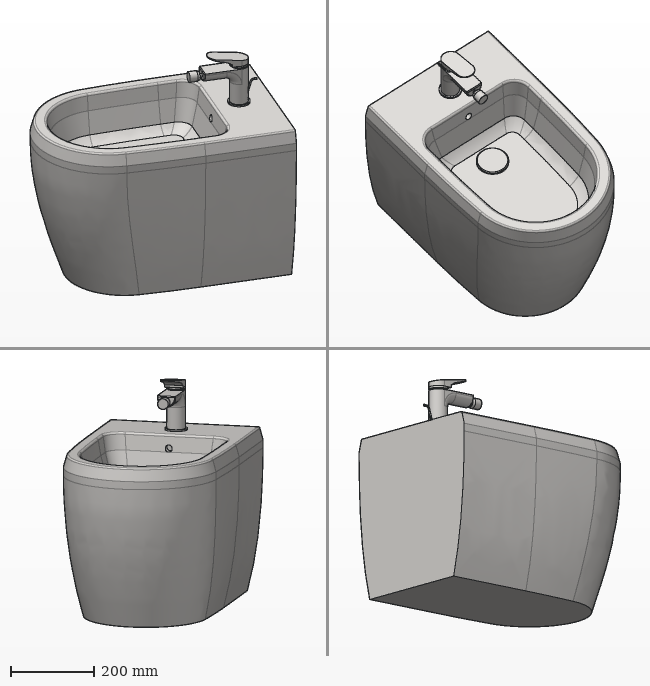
import cadquery as cq
import math


LENGTH = 600.0
WIDTH = 387.5
DECK_Z = 401.5
BAND_BOTTOM_Z = 351.0
BAND_TOP_Z = 370.0
NOSE_RADIUS = 188.0
SIDE_STRAIGHT = 228.0
RIM_INSET = 9.0
RIM_ROUND = 5.0
FOOT_SECTIONS = [
    (0.0, 155.0, 521.5, 150.0),
    (117.5, 179.0, 561.0, 173.0),
    (233.5, 190.0, 589.0, 184.0),
]

BOWL_HALF_WIDTH = 157.0
BOWL_BACK_Y = -144.5
BOWL_STRAIGHT_END_Y = -240.0
BOWL_NOSE_CENTRE_Y = -410.5
BOWL_NOSE_RADIUS = 153.0
BOWL_CORNER_RADIUS = 45.0
BOWL_LIP_ROUND = 6.0
BOWL_LIP_INSET = 4.0
SHOULDER_Z = 359.5
SHOULDER_INSET = 11.5
DISH_Z = 302.5
DISH_INSET = 27.0
DISH_MIDDLE_Z = 290.0
DISH_MIDDLE_INSET = 42.0
BOWL_FLOOR_Z = 284.0
FLOOR_INSET = 55.0
CORNER_SHRINK = 0.4
NOSE_LEAN = 0.1

OVERFLOW_Z = 368.0
OVERFLOW_RADIUS = 8.5
OVERFLOW_DEPTH = 18.0

PLUG_Y = -246.0
PLUG_RADIUS = 39.0
PLUG_HEIGHT = 6.0
PLUG_CHAMFER = 2.5

TAP_Y = -84.0
TAP_RADIUS = 23.0
FLANGE_RADIUS = 27.0
FLANGE_HEIGHT = 3.5
TAP_TOP_Z = 500.0
SPOUT_DEPTH = 27.0
SPOUT_END_Y = -177.5
SPOUT_RADIUS = TAP_RADIUS
SPOUT_END_CHAMFER = 2.5
BEND_INNER_RADIUS = 14.0
COLLAR_NECK_RADIUS = 20.0
COLLAR_NECK_HEIGHT = 3.0
COLLAR_HEIGHT = 5.0

NOZZLE_Z = 486.5
NOZZLE_RADIUS = 13.0
NOZZLE_BACK_RADIUS = 11.0
NOZZLE_NECK_RADIUS = 5.0
NOZZLE_BACK_Y = -184.0
NOZZLE_CONE_LENGTH = 6.5
NOZZLE_END_Y = -210.5

LEVER_TIP_Y = -164.5
LEVER_TOP_BACK_Z = 519.5
LEVER_TOP_TIP_Z = 536.5
LEVER_TIP_THICKNESS = 2.5
LEVER_ROOT_Y = -120.0
LEVER_ROOT_THICKNESS = 7.0
LEVER_HEEL_Z = 513.5

ROD_RADIUS = 2.0
ROD_KNOB_RADIUS = 2.5
ROD_KNOB_LENGTH = 5.0
ROD_END_Y = -39.5
ROD_END_Z = 457.0
ROD_PATH = [(-62.0, 423.0), (-56.0, 446.5), (-47.0, ROD_END_Z)]


def d_outline(z, half_width, back_y, straight_end_y, nose_y, nose_radius):
    """D-shaped wire: straight back and sides, slightly bowed side arcs and a round nose, all tangent."""
    nose_centre_y = nose_y + nose_radius
    reach = straight_end_y - nose_centre_y
    side_radius = (reach**2 + half_width**2 - nose_radius**2) / (2 * (half_width - nose_radius))
    side_centre_x = half_width - side_radius
    side_angle = math.asin(reach / (side_radius - nose_radius))

    def side_point(angle):
        return (
            side_centre_x + side_radius * math.cos(angle),
            straight_end_y - side_radius * math.sin(angle),
        )

    side_middle_x, side_middle_y = side_point(side_angle / 2)
    side_end_x, side_end_y = side_point(side_angle)
    return (
        cq.Workplane("XY", origin=(0, 0, z))
        .moveTo(-half_width, back_y)
        .lineTo(half_width, back_y)
        .lineTo(half_width, straight_end_y)
        .threePointArc((side_middle_x, side_middle_y), (side_end_x, side_end_y))
        .threePointArc((0, nose_y), (-side_end_x, side_end_y))
        .threePointArc((-side_middle_x, side_middle_y), (-half_width, straight_end_y))
        .close()
        .wires()
        .val()
    )


def loft(wires, ruled):
    return cq.Workplane(obj=cq.Solid.makeLoft(wires, ruled))


def shell_outline(z, half_width, nose_distance, nose_radius):
    return d_outline(z, half_width, 0, -SIDE_STRAIGHT, -nose_distance, nose_radius)


def make_shell():
    half_width = WIDTH / 2
    foot = [shell_outline(*section) for section in FOOT_SECTIONS]
    band_bottom = shell_outline(BAND_BOTTOM_Z, half_width, LENGTH, NOSE_RADIUS)
    band_top = shell_outline(BAND_TOP_Z, half_width, LENGTH, NOSE_RADIUS)
    rim = shell_outline(DECK_Z, half_width - RIM_INSET, LENGTH - RIM_INSET, NOSE_RADIUS - RIM_INSET)
    lower_wall = loft(foot + [band_bottom], ruled=False)
    rim_band = loft([band_bottom, band_top, rim], ruled=True)
    rim_band = rim_band.faces(">Z").edges("not >Y").fillet(RIM_ROUND)
    return lower_wall.union(rim_band)


def bowl_outline(z, inset):
    """Bowl outline drawn in from the opening, slightly less at the nose, with rounded back corners."""
    wire = d_outline(
        z,
        BOWL_HALF_WIDTH - inset,
        BOWL_BACK_Y - inset,
        BOWL_STRAIGHT_END_Y,
        BOWL_NOSE_CENTRE_Y - BOWL_NOSE_RADIUS + (1 - NOSE_LEAN) * inset,
        BOWL_NOSE_RADIUS - inset,
    )
    corners = cq.Workplane(obj=wire).vertices(">Y").vals()
    return wire.fillet2D(BOWL_CORNER_RADIUS - CORNER_SHRINK * inset, corners)


def make_bowl():
    shoulder = bowl_outline(SHOULDER_Z, SHOULDER_INSET)
    dish_edge = bowl_outline(DISH_Z, DISH_INSET)
    dish_middle = bowl_outline(DISH_MIDDLE_Z, DISH_MIDDLE_INSET)
    floor = bowl_outline(BOWL_FLOOR_Z, FLOOR_INSET)
    walls = loft([bowl_outline(DECK_Z, BOWL_LIP_INSET), shoulder, dish_edge], ruled=True)
    return walls.union(loft([dish_edge, dish_middle, floor], ruled=False))


def make_overflow_hole():
    start_y = BOWL_BACK_Y - SHOULDER_INSET
    return (
        cq.Workplane("XZ", origin=(0, start_y, OVERFLOW_Z))
        .circle(OVERFLOW_RADIUS)
        .extrude(-OVERFLOW_DEPTH)
    )


def make_basin():
    basin = make_shell().cut(make_bowl())
    lip = cq.selectors.BoxSelector(
        (-BOWL_HALF_WIDTH, BOWL_BACK_Y + 6, DECK_Z - 0.5),
        (BOWL_HALF_WIDTH, BOWL_NOSE_CENTRE_Y - BOWL_NOSE_RADIUS, DECK_Z + 0.5),
    )
    basin = basin.edges(lip).fillet(BOWL_LIP_ROUND)
    return basin.cut(make_overflow_hole())


def make_drain_plug():
    return (
        cq.Workplane("XY", origin=(0, PLUG_Y, BOWL_FLOOR_Z))
        .circle(PLUG_RADIUS)
        .extrude(PLUG_HEIGHT)
        .faces(">Z")
        .edges()
        .chamfer(PLUG_CHAMFER)
    )


def tap_disc(z, radius, height):
    """Round disc on the axis of the tap."""
    return cq.Workplane("XY", origin=(0, TAP_Y, z)).circle(radius).extrude(height)


def make_flange():
    return tap_disc(DECK_Z, FLANGE_RADIUS, FLANGE_HEIGHT)


def make_spout():
    """Half-round spout with a flat top, bending out of the tap column."""
    bend_z = TAP_TOP_Z - SPOUT_DEPTH - BEND_INNER_RADIUS
    bend_radius = BEND_INNER_RADIUS + SPOUT_RADIUS
    bend_y = TAP_Y - bend_radius
    arm_z = bend_z + bend_radius
    arm = (
        cq.Workplane("XZ", origin=(0, bend_y, arm_z))
        .moveTo(-SPOUT_RADIUS, 0)
        .lineTo(-SPOUT_RADIUS, TAP_TOP_Z - arm_z)
        .lineTo(SPOUT_RADIUS, TAP_TOP_Z - arm_z)
        .lineTo(SPOUT_RADIUS, 0)
        .threePointArc((0, -SPOUT_RADIUS), (-SPOUT_RADIUS, 0))
        .close()
        .extrude(bend_y - SPOUT_END_Y)
        .faces("<Y")
        .edges()
        .chamfer(SPOUT_END_CHAMFER)
    )
    bend = (
        cq.Workplane("XY", origin=(0, TAP_Y, bend_z))
        .moveTo(SPOUT_RADIUS, 0)
        .threePointArc((0, -SPOUT_RADIUS), (-SPOUT_RADIUS, 0))
        .close()
        .revolve(90, (0, -bend_radius), (1, -bend_radius))
    )
    diagonal = bend_radius * math.sqrt(0.5)
    crown = (
        cq.Workplane("YZ")
        .moveTo(TAP_Y, bend_z)
        .lineTo(TAP_Y, TAP_TOP_Z)
        .lineTo(bend_y, TAP_TOP_Z)
        .lineTo(bend_y, arm_z)
        .threePointArc((bend_y + diagonal, bend_z + diagonal), (TAP_Y, bend_z))
        .close()
        .extrude(SPOUT_RADIUS, both=True)
    )
    return arm.union(bend).union(crown)


def make_tap_body(rod):
    bottom_z = DECK_Z + FLANGE_HEIGHT
    column = tap_disc(bottom_z, TAP_RADIUS, TAP_TOP_Z - bottom_z)
    return column.union(make_spout()).cut(rod)


def make_collar():
    neck = tap_disc(TAP_TOP_Z, COLLAR_NECK_RADIUS, COLLAR_NECK_HEIGHT)
    return neck.union(tap_disc(TAP_TOP_Z + COLLAR_NECK_HEIGHT, TAP_RADIUS, COLLAR_HEIGHT))


def make_nozzle():
    cone_end_y = NOZZLE_BACK_Y - NOZZLE_CONE_LENGTH
    return (
        cq.Workplane("XY", origin=(0, 0, NOZZLE_Z))
        .moveTo(0, SPOUT_END_Y)
        .lineTo(NOZZLE_NECK_RADIUS, SPOUT_END_Y)
        .lineTo(NOZZLE_NECK_RADIUS, NOZZLE_BACK_Y)
        .lineTo(NOZZLE_BACK_RADIUS, NOZZLE_BACK_Y)
        .lineTo(NOZZLE_RADIUS, cone_end_y)
        .lineTo(NOZZLE_RADIUS, NOZZLE_END_Y)
        .lineTo(0, NOZZLE_END_Y)
        .close()
        .revolve(360, (0, 0), (0, 1))
    )


def make_lever():
    """Round-ended lever rising forward from a hub as wide as the tap column."""
    bottom_z = TAP_TOP_Z + COLLAR_NECK_HEIGHT + COLLAR_HEIGHT
    back_y = TAP_Y + TAP_RADIUS
    front_y = TAP_Y - TAP_RADIUS
    slope = (LEVER_TOP_TIP_Z - LEVER_TOP_BACK_Z) / (back_y - LEVER_TIP_Y)
    root_z = LEVER_TOP_BACK_Z + slope * (back_y - LEVER_ROOT_Y) - LEVER_ROOT_THICKNESS
    side_profile = (
        cq.Workplane("YZ")
        .moveTo(back_y, bottom_z)
        .lineTo(back_y, LEVER_TOP_BACK_Z)
        .lineTo(LEVER_TIP_Y, LEVER_TOP_TIP_Z)
        .lineTo(LEVER_TIP_Y, LEVER_TOP_TIP_Z - LEVER_TIP_THICKNESS)
        .lineTo(LEVER_ROOT_Y, root_z)
        .lineTo(front_y, LEVER_HEEL_Z)
        .lineTo(front_y, bottom_z)
        .close()
        .extrude(TAP_RADIUS, both=True)
    )
    length = back_y - LEVER_TIP_Y
    plan = (
        cq.Workplane("XY", origin=(0, back_y - length / 2, bottom_z))
        .slot2D(length, 2 * TAP_RADIUS, 90)
        .extrude(LEVER_TOP_TIP_Z - bottom_z)
    )
    return plan.intersect(side_profile)


def make_waste_rod():
    path = cq.Workplane("YZ").spline(ROD_PATH, tangents=[(0, 1), (1, 0)]).lineTo(ROD_END_Y, ROD_END_Z)
    rod = cq.Workplane("XY", origin=(0, *ROD_PATH[0])).circle(ROD_RADIUS).sweep(path)
    knob = (
        cq.Workplane("XZ", origin=(0, ROD_END_Y, ROD_END_Z))
        .circle(ROD_KNOB_RADIUS)
        .extrude(ROD_KNOB_LENGTH)
    )
    return rod.union(knob)


basin = make_basin()
drain_plug = make_drain_plug()
flange = make_flange()
waste_rod = make_waste_rod()
tap_body = make_tap_body(waste_rod)
collar = make_collar()
nozzle = make_nozzle()
lever = make_lever()

result = cq.Compound.makeCompound(
    [
        basin.val(),
        drain_plug.val(),
        flange.val(),
        tap_body.val(),
        waste_rod.val(),
        collar.val(),
        nozzle.val(),
        lever.val(),
    ]
)